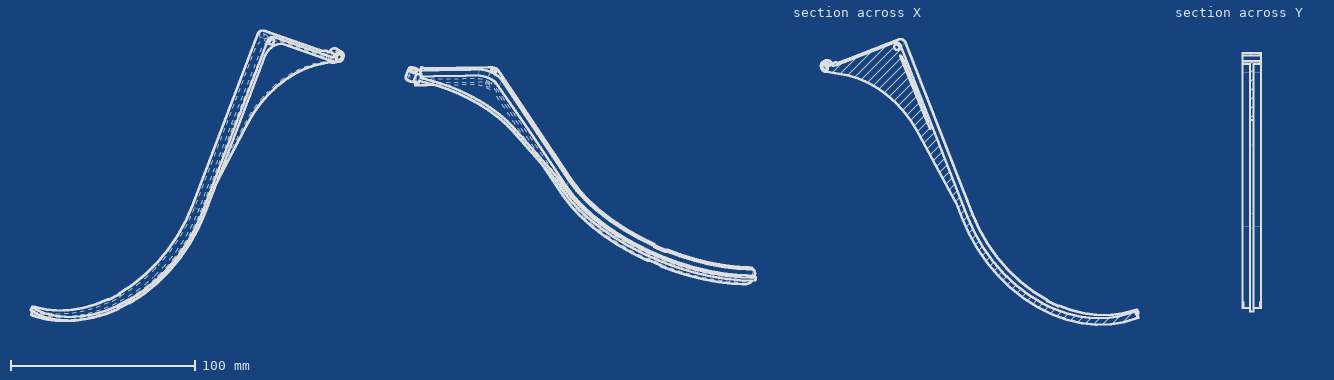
import cadquery as cq
import math

LENGTH = 200.9
HEIGHT = 140.6
WIDTH = 10.0
FLANGE_THICKNESS = 2.0
WEB_WIDTH = 2.0
STRIP_DEPTH = 4.0

TAIL_INNER_RADIUS = 74.3
TAIL_OUTER_RADIUS = TAIL_INNER_RADIUS + STRIP_DEPTH
FLANGE_OUTER_RADIUS = TAIL_INNER_RADIUS + FLANGE_THICKNESS
TAIL_CENTER = (160.7, TAIL_OUTER_RADIUS)
WEB_INNER_RADIUS = TAIL_INNER_RADIUS + FLANGE_THICKNESS / 2
TIP_ANGLE = math.degrees(math.asin((LENGTH - TAIL_CENTER[0]) / TAIL_OUTER_RADIUS)) - 90
TIP_FLANGE_FILLET = 4.0
TIP_WEB_FILLET = 0.8

CORNER_RADIUS = 3.0
CORNER_CENTER = (48.2, HEIGHT - CORNER_RADIUS)
CORNER_HOLE_DIAMETER = 3.0
CORNER_INNER_RADIUS = 9.0

TOP_BAR_SLOPE = 30.0
TOP_BAR_START = 6.5
TOP_BAR_END_HEIGHT = 118.1
TOP_BAR_END_FILLET = 5.6

LUG_RADIUS = 3.0
LUG_CENTER = (LUG_RADIUS, 116.3)
LUG_WIDTH = 5.6
LUG_HOLE_DIAMETER = 3.2
LUG_NECK_BOTTOM = 113.7
LUG_NECK_END = 7.5
WEB_START = (TOP_BAR_START + LUG_NECK_END) / 2

WEB_ARCH_RADIUS = 53.0
WEB_ARCH_TOP = (17.0, 114.3)
WEB_FOOT_REACH = 86.0

NOTCH_START = 140.6
NOTCH_END = 147.6
NOTCH_DEPTH = 0.6
NOTCH_HEIGHT = 12.0

CORNER_TOLERANCE = 0.1


def polar(center, radius, degrees):
    angle = math.radians(degrees)
    return (center[0] + radius * math.cos(angle), center[1] + radius * math.sin(angle))


def point_on_line(start, degrees, reach):
    return (reach, start[1] + (reach - start[0]) * math.tan(math.radians(degrees)))


def yz(point):
    return (-point[0], point[1])


def line_to(path, point):
    return path.lineTo(*yz(point))


def arc_to(path, center, radius, start, end):
    middle = polar(center, radius, (start + end) / 2)
    return path.threePointArc(yz(middle), yz(polar(center, radius, end)))


def extrude(path, width):
    return path.close().extrude(width / 2, both=True)


def cylinder(center, diameter, width):
    return cq.Workplane("YZ").center(*yz(center)).circle(diameter / 2).extrude(width / 2, both=True)


corner_offset = (CORNER_CENTER[0] - TAIL_CENTER[0], CORNER_CENTER[1] - TAIL_CENTER[1])
corner_direction = math.degrees(math.atan2(corner_offset[1], corner_offset[0]))
arm_normal = corner_direction + math.degrees(
    math.acos((TAIL_INNER_RADIUS + CORNER_RADIUS) / math.hypot(*corner_offset))
)
arm_slope = arm_normal + 90
top_normal = TOP_BAR_SLOPE + 90
tip_sweep_end = TIP_ANGLE + 360

bar_top = polar(CORNER_CENTER, CORNER_RADIUS, top_normal)
bar_bottom = polar(CORNER_CENTER, CORNER_RADIUS - FLANGE_THICKNESS, top_normal)
web_bar_top = polar(CORNER_CENTER, CORNER_RADIUS - FLANGE_THICKNESS / 2, top_normal)
web_bar_start = point_on_line(web_bar_top, TOP_BAR_SLOPE, WEB_START)
arm_bottom = polar(TAIL_CENTER, FLANGE_OUTER_RADIUS, arm_normal)
bar_bend_reach = bar_top[0] - (bar_top[1] - TOP_BAR_END_HEIGHT) / math.tan(math.radians(TOP_BAR_SLOPE))
bar_bottom_start = point_on_line(bar_bottom, TOP_BAR_SLOPE, TOP_BAR_START)

bar_gradient = math.tan(math.radians(TOP_BAR_SLOPE))
arm_gradient = math.tan(math.radians(arm_slope))
inner_corner_reach = (
    arm_bottom[1] - bar_bottom[1] + bar_gradient * bar_bottom[0] - arm_gradient * arm_bottom[0]
) / (bar_gradient - arm_gradient)
inner_corner = point_on_line(bar_bottom, TOP_BAR_SLOPE, inner_corner_reach)


def fillet_profile_corner(body, point, radius):
    reach = CORNER_TOLERANCE
    box = cq.selectors.BoxSelector(
        (-WIDTH, -point[0] - reach, point[1] - reach),
        (WIDTH, -point[0] + reach, point[1] + reach),
    )
    return body.edges("|X").edges(box).fillet(radius)


def make_flange():
    path = cq.Workplane("YZ").moveTo(*yz(bar_bottom_start))
    path = line_to(path, (TOP_BAR_START, TOP_BAR_END_HEIGHT))
    path = line_to(path, (bar_bend_reach, TOP_BAR_END_HEIGHT))
    path = line_to(path, bar_top)
    path = arc_to(path, CORNER_CENTER, CORNER_RADIUS, top_normal, arm_normal - 180)
    path = line_to(path, polar(TAIL_CENTER, TAIL_INNER_RADIUS, arm_normal))
    path = arc_to(path, TAIL_CENTER, TAIL_INNER_RADIUS, arm_normal, tip_sweep_end)
    path = line_to(path, polar(TAIL_CENTER, FLANGE_OUTER_RADIUS, tip_sweep_end))
    path = arc_to(path, TAIL_CENTER, FLANGE_OUTER_RADIUS, tip_sweep_end, arm_normal)
    path = line_to(path, inner_corner)
    flange = extrude(path, WIDTH)
    flange = fillet_profile_corner(flange, inner_corner, CORNER_INNER_RADIUS)
    flange = fillet_profile_corner(flange, (bar_bend_reach, TOP_BAR_END_HEIGHT), TOP_BAR_END_FILLET)
    return round_tip(flange, TIP_FLANGE_FILLET)


def make_web():
    foot = point_on_line(polar(TAIL_CENTER, TAIL_OUTER_RADIUS, arm_normal), arm_slope, WEB_FOOT_REACH)
    arch_center = (WEB_ARCH_TOP[0], WEB_ARCH_TOP[1] - WEB_ARCH_RADIUS)
    foot_offset = (foot[0] - arch_center[0], foot[1] - arch_center[1])
    foot_direction = math.degrees(math.atan2(foot_offset[1], foot_offset[0]))
    arch_end = foot_direction + math.degrees(math.acos(WEB_ARCH_RADIUS / math.hypot(*foot_offset)))

    path = cq.Workplane("YZ").moveTo(*yz((LUG_NECK_END, LUG_NECK_BOTTOM)))
    path = line_to(path, WEB_ARCH_TOP)
    path = arc_to(path, arch_center, WEB_ARCH_RADIUS, 90, arch_end)
    path = line_to(path, foot)
    path = line_to(path, polar(TAIL_CENTER, TAIL_OUTER_RADIUS, arm_normal))
    path = arc_to(path, TAIL_CENTER, TAIL_OUTER_RADIUS, arm_normal, tip_sweep_end)
    path = line_to(path, polar(TAIL_CENTER, WEB_INNER_RADIUS, tip_sweep_end))
    path = arc_to(path, TAIL_CENTER, WEB_INNER_RADIUS, tip_sweep_end, arm_normal)
    path = line_to(path, CORNER_CENTER)
    path = line_to(path, web_bar_top)
    path = line_to(path, web_bar_start)
    path = line_to(path, (WEB_START, LUG_NECK_BOTTOM))
    return round_tip(extrude(path, WEB_WIDTH), TIP_WEB_FILLET)


def round_tip(body, radius):
    direction = polar((0, 0), 1, tip_sweep_end)
    radial_edges = cq.selectors.ParallelDirSelector(cq.Vector(0, *yz(direction)))
    return body.faces("<Y").edges(radial_edges).fillet(radius)


def make_lug():
    neck = cq.Workplane("YZ").moveTo(*yz((LUG_CENTER[0], LUG_NECK_BOTTOM)))
    neck = line_to(neck, (LUG_NECK_END, LUG_NECK_BOTTOM))
    neck = line_to(neck, (LUG_NECK_END, TOP_BAR_END_HEIGHT))
    neck = line_to(neck, (LUG_CENTER[0], TOP_BAR_END_HEIGHT))
    return extrude(neck, LUG_WIDTH).union(cylinder(LUG_CENTER, 2 * LUG_RADIUS, LUG_WIDTH))


def make_notch(side):
    center_x = side * WIDTH / 2
    center_y = -(NOTCH_START + NOTCH_END) / 2
    box = cq.Workplane("XY").box(2 * NOTCH_DEPTH, NOTCH_END - NOTCH_START, NOTCH_HEIGHT)
    return box.translate((center_x, center_y, NOTCH_HEIGHT / 2))


result = make_flange().union(make_web()).union(make_lug())
result = result.cut(cylinder(CORNER_CENTER, CORNER_HOLE_DIAMETER, WIDTH))
result = result.cut(cylinder(LUG_CENTER, LUG_HOLE_DIAMETER, WIDTH))
for side in (-1, 1):
    result = result.cut(make_notch(side))